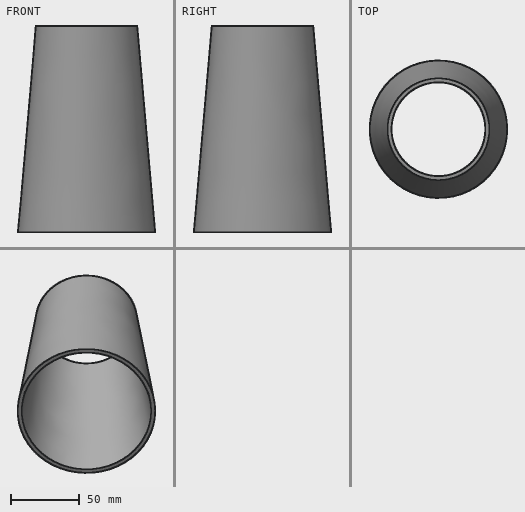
import cadquery as cq

height = 150.0
bottom_diameter = 100.0
top_diameter = 74.0
wall = 3.0

bottom_radius = bottom_diameter / 2
top_radius = top_diameter / 2

wall_section = cq.Workplane("XZ").polyline([
    (bottom_radius - wall, 0),
    (bottom_radius, 0),
    (top_radius, height),
    (top_radius - wall, height),
]).close()

result = wall_section.revolve(360, (0, 0, 0), (0, 1, 0))